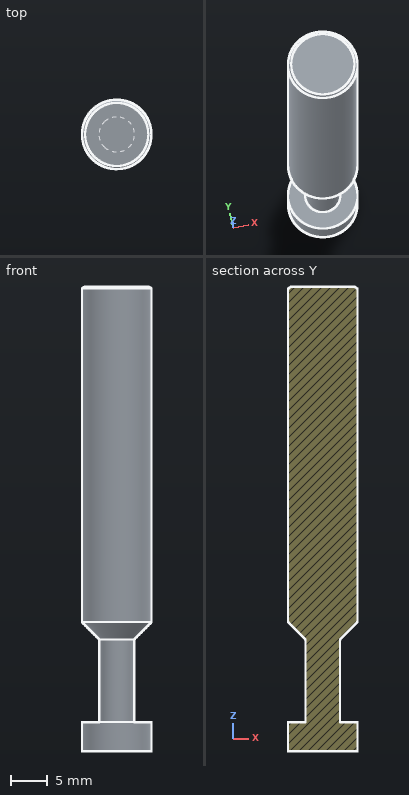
import cadquery as cq

length = 63.5
diameter = 9.5

foot_height = 4.0
neck_diameter = 4.8
shank_start = 17.65

chamfer_inset = 0.45
chamfer_height = 0.25

radius = diameter / 2
neck_radius = neck_diameter / 2
cone_height = radius - neck_radius
neck_top = shank_start - cone_height

profile = (
    cq.Workplane("XZ")
    .moveTo(0, 0)
    .lineTo(radius, 0)
    .lineTo(radius, foot_height)
    .lineTo(neck_radius, foot_height)
    .lineTo(neck_radius, neck_top)
    .lineTo(radius, shank_start)
    .lineTo(radius, length - chamfer_height)
    .lineTo(radius - chamfer_inset, length)
    .lineTo(0, length)
    .close()
)

result = profile.revolve(360, (0, 0, 0), (0, 1, 0))